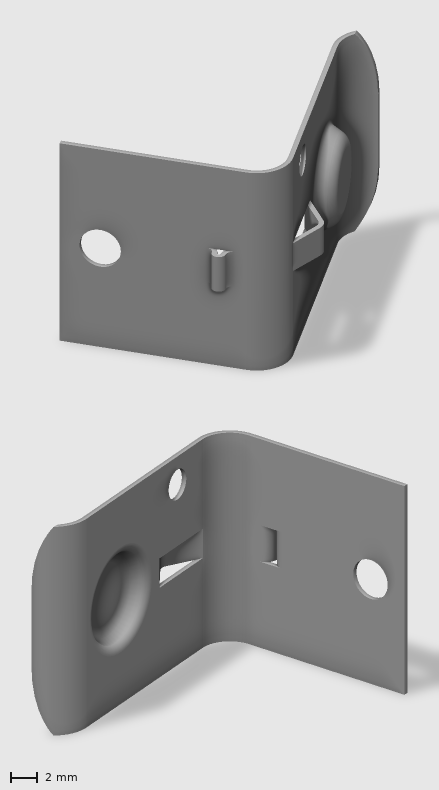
import cadquery as cq
import math

thickness = 0.4
height = 17.45
lean = 5.0

leaf_length = 14.7
bend_radius = 2.8
upright_length = 16.53
hook_radius = 3.0
hook_turn = 90.0
hook_corner_radius = 10.0
hook_corner_drop = 1.6

leaf_hole_diameter = 3.25
leaf_hole_x = 3.2
upright_hole_diameter = 2.5
upright_hole_along = 3.6
upright_hole_z = 6.37

dish_along = 11.65
dish_lip_radius = 4.4
dish_depth = 1.55
dish_bend_radius = 0.8
dish_slope = 60.0

bridge_width = 2.46
bridge_span = 6.18
bridge_slope = 30.7
bridge_bend_radius = 0.72
bridge_root_radius = 0.24

bump_x = 12.7
bump_width = 3.05
bump_depth = 1.08
bump_half_length = 1.1
bump_bend_radius = 0.55


def polar(center, radius, degrees):
    angle = math.radians(degrees)
    return (center[0] + radius * math.cos(angle), center[1] + radius * math.sin(angle))


def arc(sketch, center, radius, start, end):
    """Continue the sketch with an arc about center from angle start to angle end."""
    return sketch.threePointArc(polar(center, radius, (start + end) / 2), polar(center, radius, end))


bend_center = (leaf_length, bend_radius)
bend_inner_radius = bend_radius - thickness
upright_start = polar(bend_center, bend_inner_radius, lean)
upright_end = polar(upright_start, upright_length, 90 + lean)
hook_center = polar(upright_end, hook_radius, lean)
hook_inner_radius = hook_radius - thickness
hook_start_angle = 180 + lean
hook_end_angle = hook_start_angle - hook_turn

along = polar((0, 0), 1, 90 + lean)
outward = polar((0, 0), 1, lean)
section_plane = cq.Plane(origin=(*upright_start, 0), xDir=(*along, 0), normal=(0, 0, -1))
face_plane = cq.Plane(origin=(*upright_start, 0), xDir=(*along, 0), normal=(*outward, 0))


def make_strip():
    """Leaf, lower bend, upright and hook as one bent strip."""
    sketch = cq.Workplane("XY").moveTo(0, 0).lineTo(leaf_length, 0)
    sketch = arc(sketch, bend_center, bend_radius, -90, lean)
    sketch = sketch.lineTo(*polar(hook_center, hook_inner_radius, hook_start_angle))
    sketch = arc(sketch, hook_center, hook_inner_radius, hook_start_angle, hook_end_angle)
    sketch = sketch.lineTo(*polar(hook_center, hook_radius, hook_end_angle))
    sketch = arc(sketch, hook_center, hook_radius, hook_end_angle, hook_start_angle)
    sketch = sketch.lineTo(*upright_start)
    sketch = arc(sketch, bend_center, bend_inner_radius, lean, -90)
    sketch = sketch.lineTo(0, thickness).close()
    return sketch.extrude(height / 2, both=True)


def make_hook_corner(side):
    """Waste outside the rounded corner of the hook's free edge; side is +1 or -1 in Z."""
    edge_x = polar(hook_center, hook_radius, hook_end_angle)[0]
    sweep = math.degrees(math.acos(1 - hook_corner_drop / hook_corner_radius))
    center_z = height / 2 - hook_corner_radius * math.sin(math.radians(sweep))
    center = (edge_x - hook_corner_radius, side * center_z)
    sketch = cq.Workplane("XZ", origin=(0, hook_center[1], 0)).moveTo(edge_x, side * center_z)
    sketch = arc(sketch, center, hook_corner_radius, 0, side * sweep)
    sketch = sketch.lineTo(edge_x + thickness, side * height / 2)
    sketch = sketch.lineTo(edge_x + thickness, side * center_z).close()
    return sketch.extrude(-2 * hook_radius)


def make_dish(offset):
    """Solid filling the dish up to the sheet face at the given offset from the inner face."""
    slope = math.radians(dish_slope)
    slant_rise = dish_depth - 2 * dish_bend_radius * (1 - math.cos(slope))
    slant_run = slant_rise / math.tan(slope)
    floor_radius = dish_lip_radius - slant_run - 2 * dish_bend_radius * math.sin(slope)
    lip_center = (dish_lip_radius, dish_bend_radius)
    floor_center = (floor_radius, dish_depth - dish_bend_radius)
    lip_bend = dish_bend_radius - offset
    floor_bend = dish_bend_radius + offset
    sketch = cq.Workplane(section_plane).center(dish_along, 0).lineTo(dish_lip_radius, 0)
    if offset > 0:
        sketch = sketch.lineTo(dish_lip_radius, offset)
    sketch = arc(sketch, lip_center, lip_bend, -90, -90 - dish_slope)
    sketch = sketch.lineTo(*polar(floor_center, floor_bend, 90 - dish_slope))
    sketch = arc(sketch, floor_center, floor_bend, 90 - dish_slope, 90)
    sketch = sketch.lineTo(0, dish_depth + offset).close()
    return sketch.revolve(360, (0, 0), (0, 1))


def make_bridge(offset):
    """Triangular prism under the bridge, its sloping faces moved out by offset."""
    slope = math.radians(bridge_slope)
    half_base = bridge_span / 2 + offset / math.sin(slope)
    middle = bridge_span / 2
    prism = (
        cq.Workplane(section_plane)
        .moveTo(middle - half_base, 0)
        .lineTo(middle + half_base, 0)
        .lineTo(middle, half_base * math.tan(slope))
        .close()
        .extrude(bridge_width / 2, both=True)
    )
    crest = cq.NearestToPointSelector(
        section_plane.toWorldCoords((middle, half_base * math.tan(slope), 0)).toTuple()
    )
    return prism.edges("|Z").edges(crest).fillet(bridge_bend_radius + offset)


def round_bridge_root(body):
    """Round the edge where the bridge's upper leg meets the upright's inner face."""
    root = section_plane.toWorldCoords((bridge_span, 0, 0)).toTuple()
    return body.edges(cq.NearestToPointSelector(root)).fillet(bridge_root_radius)


def make_bump(offset):
    """Solid filling the bump up to the sheet face at the given offset from the inner face."""
    sweep = math.degrees(2 * math.atan(bump_depth / bump_half_length))
    flare_radius = bump_depth / (1 - math.cos(math.radians(sweep))) - bump_bend_radius
    crest_center = (bump_x, bump_bend_radius - bump_depth)
    right_center = (bump_x + bump_half_length, -flare_radius)
    left_center = (bump_x - bump_half_length, -flare_radius)
    crest_bend = bump_bend_radius - thickness + offset
    flare_bend = flare_radius + thickness - offset
    sketch = cq.Workplane("XY").moveTo(*polar(right_center, flare_bend, 90))
    sketch = arc(sketch, right_center, flare_bend, 90, 90 + sweep)
    sketch = arc(sketch, crest_center, crest_bend, sweep - 90, -sweep - 90)
    sketch = arc(sketch, left_center, flare_bend, 90 - sweep, 90).close()
    return sketch.extrude(bump_width / 2, both=True)


def make_hole(plane, across, up, diameter):
    """Cylinder through the sheet, standing on the given face plane."""
    return (
        cq.Workplane(plane)
        .center(across, up)
        .circle(diameter / 2)
        .extrude(2 * thickness, both=True)
    )


result = make_strip()
for corner_side in (1, -1):
    result = result.cut(make_hook_corner(corner_side))
result = result.union(make_dish(thickness)).cut(make_dish(0))
result = result.union(make_bridge(thickness)).cut(make_bridge(0))
result = round_bridge_root(result)
result = result.union(make_bump(thickness)).cut(make_bump(0))
result = result.cut(make_hole(cq.Plane.named("XZ"), leaf_hole_x, 0, leaf_hole_diameter))
result = result.cut(make_hole(face_plane, upright_hole_along, upright_hole_z, upright_hole_diameter))